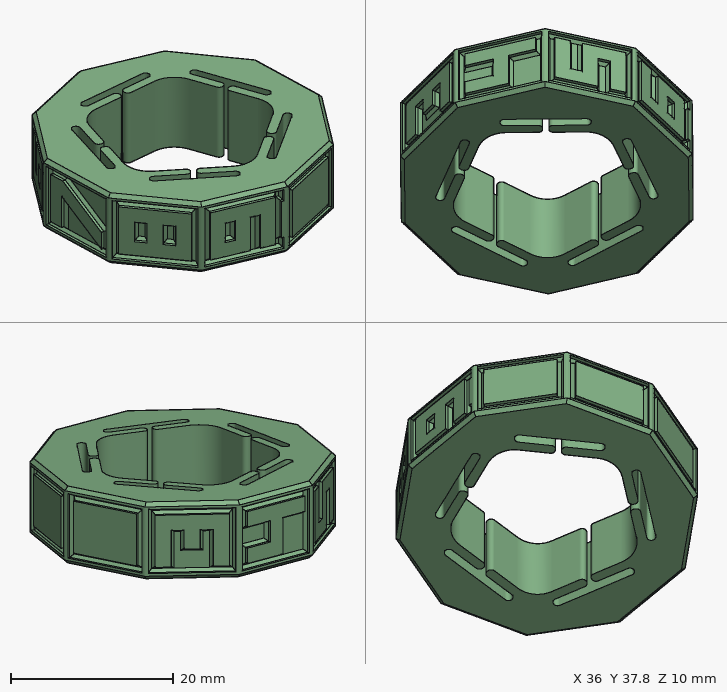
import cadquery as cq
import math

SIDES = 10
LENGTH = 37.8
HEIGHT = 10.0
BEVEL = 0.5
EDGE_ROUND = 0.5
SIDE_STEP = 360 / SIDES
CORNER_COSINE = math.cos(math.pi / SIDES)
CORNER_RADIUS = LENGTH / 2 + EDGE_ROUND * (1 / CORNER_COSINE - 1)
APOTHEM = CORNER_RADIUS * CORNER_COSINE

BORE_SIDES = 5
BORE_APOTHEM = 10.35
BORE_CORNER_ROUND = 3.6
FINGER_THICKNESS = 1.25
FINGER_GAP = 0.75
FINGER_TIP_ROUND = 0.55
SPRING_SLOT_LENGTH = 11.25
SPRING_SLOT_WIDTH = 1.15
BORE_STEP = 360 / BORE_SIDES
CUT_MARGIN = 0.38
CUT_HEIGHT = HEIGHT + 2 * CUT_MARGIN

GROOVE_WIDTH = 0.8
FOOT = GROOVE_WIDTH / 2
WALL_DEPTH = FOOT
STROKE = 2.0
WIDE_GAP = 1.6
NARROW_GAP = 1.4
PANEL_HEIGHT = 6.75
PANEL_HALF_HEIGHT = PANEL_HEIGHT / 2
PANEL_LEFT = -(3 * STROKE + 2 * WIDE_GAP) / 2
POCKET_HALF_WIDTH = -PANEL_LEFT + GROOVE_WIDTH
POCKET_HALF_HEIGHT = PANEL_HALF_HEIGHT + GROOVE_WIDTH
SLOT_END = PANEL_HALF_HEIGHT - STROKE
OVERRUN = 7.55
TAB_HALF_HEIGHT = 2.6
SHORT_BAR_END = -1.1
OFFSET_BAR_LEFT = -0.9
SLANT_TOP_START = -2.4
SLANT_INNER_START = 1.1


def bar_edge(bars, gaps, gap=WIDE_GAP):
    """The u position after a number of bars and gaps, counted from the panel's left edge."""
    return PANEL_LEFT + bars * STROKE + gaps * gap


def box_outline(u1, v1, u2, v2):
    return [(u1, v1), (u2, v1), (u2, v2), (u1, v2)]


def sunk(outline):
    """Opening cut down from the flat: straight walls, then a foot narrowing at 45 degrees."""
    straight = cq.Workplane("XY").polyline(outline).close().extrude(-WALL_DEPTH)
    foot = (
        cq.Workplane("XY").workplane(offset=-WALL_DEPTH)
        .polyline(outline).close().extrude(-FOOT, taper=45)
    )
    return straight.union(foot)


def raised(u1, v1, u2, v2):
    """Block flush with the flat: straight walls, then a foot widening at 45 degrees."""
    top = box_outline(u1, v1, u2, v2)
    base = box_outline(u1 - FOOT, v1 - FOOT, u2 + FOOT, v2 + FOOT)
    straight = cq.Workplane("XY").polyline(top).close().extrude(-WALL_DEPTH)
    foot = (
        cq.Workplane("XY").workplane(offset=-WALL_DEPTH - FOOT)
        .polyline(base).close().extrude(FOOT, taper=45)
    )
    return straight.union(foot)


def gap_opening(number, gap=WIDE_GAP, open_top=False, open_bottom=False):
    """Opening in the first or second gap between the bars, closed or run out at an end."""
    bottom = -OVERRUN if open_bottom else -SLOT_END
    top = OVERRUN if open_top else SLOT_END
    return box_outline(bar_edge(number, number - 1, gap), bottom, bar_edge(number, number, gap), top)


def shortened_middle_openings():
    """Both gaps open at the bottom, joined below a shortened middle bar."""
    below_bar = box_outline(bar_edge(1, 0), -OVERRUN, bar_edge(2, 2), SHORT_BAR_END)
    return [gap_opening(1, open_bottom=True), gap_opening(2, open_bottom=True), below_bar]


def offset_bar_openings():
    """Notch from the left and cleared lower right corner, with an upright bar between."""
    notch = box_outline(-OVERRUN, -SLOT_END, OFFSET_BAR_LEFT, SLOT_END)
    corner = box_outline(OFFSET_BAR_LEFT + STROKE, -OVERRUN, OVERRUN, SLOT_END)
    return [notch, corner]


def slanted_openings():
    """Areas above and below a slanted bar that runs into the lower right corner."""
    left_bar_edge = bar_edge(1, 0)
    slope = (SLANT_INNER_START + PANEL_HALF_HEIGHT) / (-PANEL_LEFT - left_bar_edge)
    upper_left = PANEL_HALF_HEIGHT + slope * (SLANT_TOP_START + OVERRUN)
    upper_right = PANEL_HALF_HEIGHT + slope * (SLANT_TOP_START - OVERRUN)
    lower_right = SLANT_INNER_START + slope * (left_bar_edge - OVERRUN)
    above = [(-OVERRUN, upper_left), (OVERRUN, upper_right), (OVERRUN, OVERRUN)]
    below = [
        (left_bar_edge, SLANT_INNER_START),
        (left_bar_edge, -OVERRUN),
        (OVERRUN, -OVERRUN),
        (OVERRUN, lower_right),
    ]
    return [above, below]


def flat_relief(openings, gap=WIDE_GAP, has_tab=False):
    """Material removed from one flat, laid out with the flat in the XY plane."""
    panel_right = bar_edge(3, 2, gap)
    block = raised(PANEL_LEFT, -PANEL_HALF_HEIGHT, panel_right, PANEL_HALF_HEIGHT)
    for outline in openings:
        block = block.cut(sunk(outline))
    pocket = sunk(
        box_outline(-POCKET_HALF_WIDTH, -POCKET_HALF_HEIGHT, POCKET_HALF_WIDTH, POCKET_HALF_HEIGHT)
    )
    relief = pocket.cut(block)
    if has_tab:
        tab_left = panel_right + GROOVE_WIDTH
        relief = relief.cut(raised(tab_left, -TAB_HALF_HEIGHT, OVERRUN, TAB_HALF_HEIGHT))
    return relief


def on_flat(relief, number):
    """Stand a flat layout upright on one flat, counted anticlockwise from +X."""
    angle = math.radians(number * SIDE_STEP)
    normal = (math.cos(angle), math.sin(angle), 0)
    origin = (APOTHEM * normal[0], APOTHEM * normal[1], 0)
    across = (-normal[1], normal[0], 0)
    plane = cq.Plane(origin=origin, xDir=across, normal=normal)
    return cq.Workplane(relief.val().moved(cq.Location(plane)))


def ring_body():
    return (
        cq.Workplane("XY").workplane(offset=-HEIGHT / 2)
        .transformed(rotate=(0, 0, SIDE_STEP / 2))
        .polygon(SIDES, 2 * CORNER_RADIUS).extrude(HEIGHT)
        .faces("<Z or >Z").chamfer(BEVEL)
        .edges("|Z").fillet(EDGE_ROUND)
    )


def spring_opening():
    """T-shaped opening behind the +Y side of the bore that frees two round-tipped fingers."""
    slot_y = BORE_APOTHEM + FINGER_THICKNESS + SPRING_SLOT_WIDTH / 2
    slot = (
        cq.Workplane("XY").center(0, slot_y)
        .slot2D(SPRING_SLOT_LENGTH, SPRING_SLOT_WIDTH).extrude(CUT_HEIGHT / 2, both=True)
    )
    gap_y = BORE_APOTHEM + FINGER_THICKNESS / 2
    gap = (
        cq.Workplane("XY").center(0, gap_y)
        .rect(FINGER_GAP + 2 * FINGER_TIP_ROUND, FINGER_THICKNESS).extrude(CUT_HEIGHT / 2, both=True)
    )
    finger_length = 2 * FINGER_THICKNESS
    finger_x = (FINGER_GAP + finger_length) / 2
    fingers = (
        cq.Workplane("XY").pushPoints([(-finger_x, gap_y), (finger_x, gap_y)])
        .rect(finger_length, FINGER_THICKNESS).extrude(CUT_HEIGHT / 2, both=True)
        .edges("|Z").fillet(FINGER_TIP_ROUND)
    )
    return slot.union(gap.cut(fingers))


def bore():
    """Rounded pentagon with a flat toward +Y and a spring opening behind every side."""
    corner_diameter = 2 * BORE_APOTHEM / math.cos(math.pi / BORE_SIDES)
    cutter = (
        cq.Workplane("XY").transformed(rotate=(0, 0, -90))
        .polygon(BORE_SIDES, corner_diameter).extrude(CUT_HEIGHT / 2, both=True)
        .edges("|Z").fillet(BORE_CORNER_ROUND)
    )
    opening = spring_opening()
    for number in range(BORE_SIDES):
        cutter = cutter.union(opening.rotate((0, 0, 0), (0, 0, 1), number * BORE_STEP))
    return cutter


PLAIN_RELIEF = flat_relief([])
FLAT_RELIEFS = [
    PLAIN_RELIEF,
    PLAIN_RELIEF,
    PLAIN_RELIEF,
    flat_relief(shortened_middle_openings()),
    flat_relief(offset_bar_openings()),
    flat_relief([gap_opening(1, open_top=True), gap_opening(2, open_bottom=True)]),
    flat_relief(
        [gap_opening(1, NARROW_GAP, open_top=True), gap_opening(2, NARROW_GAP)],
        gap=NARROW_GAP,
        has_tab=True,
    ),
    flat_relief(slanted_openings()),
    flat_relief([gap_opening(1), gap_opening(2)]),
    flat_relief(
        [gap_opening(1, NARROW_GAP), gap_opening(2, NARROW_GAP, open_bottom=True)],
        gap=NARROW_GAP,
        has_tab=True,
    ),
]

result = ring_body().cut(bore())
for number, relief in enumerate(FLAT_RELIEFS):
    result = result.cut(on_flat(relief, number))